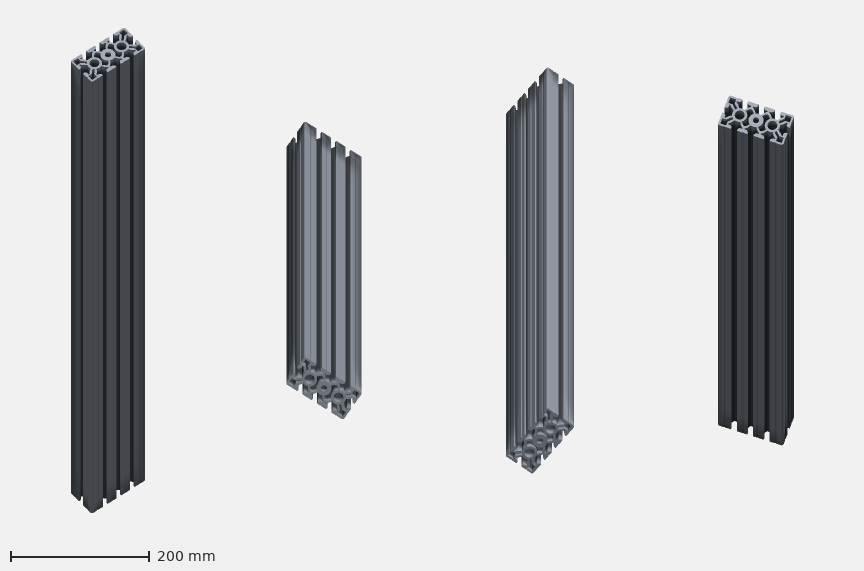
import cadquery as cq

cell = 50.0
length = 1000.0
half_x = cell / 2
half_y = cell
corner_radius = 3.0

opening_half_width = 4.5
lip_edge_depth = 3.0
lip_depth = 5.5
head_half_width = 11.0
head_side_depth = 7.0
shoulder_half_width = 7.5
shoulder_depth = 9.8
throat_half_width = 4.0
throat_depth = 15.0

core_radius = 11.0
cell_bore_radius = 7.2
middle_bore_radius = 4.5

wall = 3.0
corner_hollow = 9.0
channel_width = 3.5
middle_hollow_half_x = 14.0
middle_hollow_edge = 3.0

groove_offset = 14.0
groove_half_width = 1.2
groove_depth = 0.8

cell_centres = [-cell / 2, cell / 2]
core_centres = cell_centres + [0]


def prism(points):
    return cq.Workplane("XY").polyline(points).close().extrude(length)


def cylinders(radius, y_centres):
    return cq.Workplane("XY").pushPoints([(0, y) for y in y_centres]).circle(radius).extrude(length)


def on_face(cutter, face_distance, angle, y_centre):
    """Move a cutter drawn at Y = 0 for a face that points to +Y, then turn it onto another face."""
    moved = cutter.translate((0, face_distance, 0))
    return moved.rotate((0, 0, 0), (0, 0, 1), angle).translate((0, y_centre, 0))


def slot_cutter():
    """T-slot with bevelled lips and a head that narrows in steps toward the round core."""
    bevel = lip_depth - lip_edge_depth
    right_side = [
        (opening_half_width, 0),
        (opening_half_width, -lip_edge_depth),
        (opening_half_width + bevel, -lip_depth),
        (head_half_width, -lip_depth),
        (head_half_width, -head_side_depth),
        (shoulder_half_width, -shoulder_depth),
        (throat_half_width, -throat_depth),
        (throat_half_width, -half_x),
    ]
    left_side = [(-x, y) for x, y in reversed(right_side)]
    core = cq.Workplane("XY").center(0, -half_x).circle(core_radius).extrude(length)
    return prism(right_side + left_side).cut(core)


def groove_cutter():
    """Pair of V grooves, one on each side of the slot at the cell centre."""
    cutter = cq.Workplane("XY")
    for x in (-groove_offset, groove_offset):
        cutter = cutter.add(
            prism([(x - groove_half_width, 0), (x, -groove_depth), (x + groove_half_width, 0)])
        )
    return cutter.combine()


def corner_hollow_cutter():
    """Square hollow in the +X +Y corner, joined to a diagonal channel that ends on the core."""
    outer = half_x - wall
    square = (
        cq.Workplane("XY")
        .rect(corner_hollow, corner_hollow)
        .extrude(length)
        .translate((outer - corner_hollow / 2, outer - corner_hollow / 2, 0))
    )
    channel = (
        cq.Workplane("XY")
        .rect(2 * outer, channel_width)
        .extrude(length)
        .translate((outer, 0, 0))
        .rotate((0, 0, 0), (0, 0, 1), 45)
        .intersect(cq.Workplane("XY").rect(2 * outer, 2 * outer).extrude(length))
    )
    hollow = square.union(channel).cut(cylinders(core_radius, [0]))
    return hollow.translate((0, cell / 2, 0))


def middle_hollow_cutter():
    """Hollow between the middle core and the +Y core, with 45 degree sides along the webs."""
    x = middle_hollow_half_x
    edge = middle_hollow_edge / 2
    tip = edge + x
    outline = [(x, -edge), (x, edge), (0, tip), (-x, edge), (-x, -edge), (0, -tip)]
    return prism(outline).translate((0, cell / 4, 0)).cut(cylinders(core_radius, core_centres))


profile = cq.Workplane("XY").rect(cell, 2 * cell).extrude(length).edges("|Z").fillet(corner_radius)

slot = slot_cutter()
groove = groove_cutter()
for angle in (90, -90):
    for y in core_centres:
        profile = profile.cut(on_face(slot, half_x, angle, y))
    for y in cell_centres:
        profile = profile.cut(on_face(groove, half_x, angle, y))
for angle in (0, 180):
    profile = profile.cut(on_face(slot, half_y, angle, 0))
    profile = profile.cut(on_face(groove, half_y, angle, 0))

corner = corner_hollow_cutter()
middle = middle_hollow_cutter()
for cutter in (corner, corner.mirror("YZ"), middle):
    profile = profile.cut(cutter).cut(cutter.mirror("XZ"))

profile = profile.cut(cylinders(cell_bore_radius, cell_centres))
result = profile.cut(cylinders(middle_bore_radius, [0]))